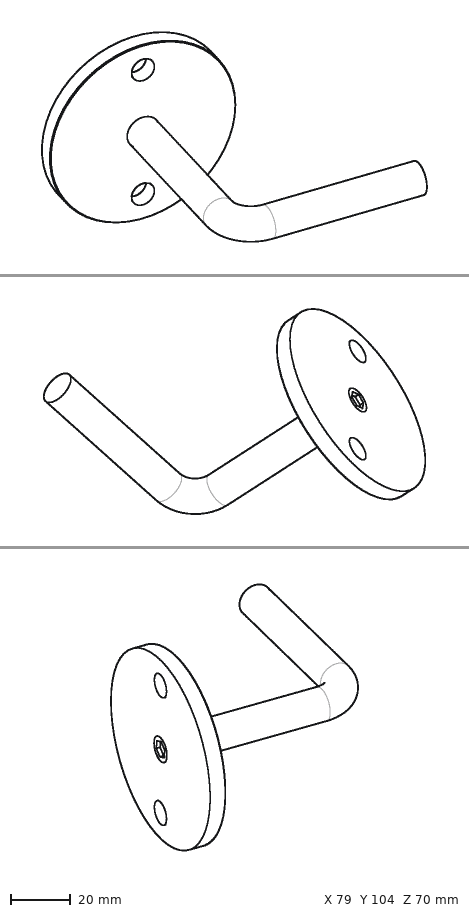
import cadquery as cq
import math

plate_diameter = 70.0
plate_thickness = 6.0
plate_chamfer = 0.3
screw_hole_diameter = 8.5
screw_hole_offset = 25.0

arm_diameter = 12.0
bend_radius = 12.0
reach_x = 79.0
overall_length = 104.0
arm_axis_x = reach_x - arm_diameter / 2
arm_end_y = overall_length - plate_diameter / 2

spigot_diameter = 9.2
socket_corner_diameter = 6.5
socket_depth = 1.5
socket_turn = 8.0


def make_plate():
    plate = cq.Workplane("YZ").circle(plate_diameter / 2).extrude(plate_thickness)
    plate = plate.faces(">X").edges().chamfer(plate_chamfer)
    screw_holes = (
        cq.Workplane("YZ")
        .pushPoints([(0, screw_hole_offset), (0, -screw_hole_offset)])
        .circle(screw_hole_diameter / 2)
        .extrude(plate_thickness)
    )
    centre_hole = cq.Workplane("YZ").circle(spigot_diameter / 2).extrude(plate_thickness)
    return plate.cut(screw_holes).cut(centre_hole)


def make_arm():
    bend_start_x = arm_axis_x - bend_radius
    bend_middle = (
        bend_start_x + bend_radius * math.sin(math.pi / 4),
        bend_radius * (1 - math.cos(math.pi / 4)),
    )
    path = (
        cq.Workplane("XY")
        .moveTo(plate_thickness, 0)
        .lineTo(bend_start_x, 0)
        .threePointArc(bend_middle, (arm_axis_x, bend_radius))
        .lineTo(arm_axis_x, arm_end_y)
    )
    rod = cq.Workplane("YZ", origin=(plate_thickness, 0, 0)).circle(arm_diameter / 2).sweep(path)
    spigot = cq.Workplane("YZ").circle(spigot_diameter / 2).extrude(plate_thickness)
    socket = (
        cq.Workplane("YZ")
        .transformed(rotate=(0, 0, 90 + socket_turn))
        .polygon(6, socket_corner_diameter)
        .extrude(socket_depth)
    )
    return rod.union(spigot).cut(socket)


plate = make_plate()
arm = make_arm()
result = cq.Compound.makeCompound([plate.val(), arm.val()])